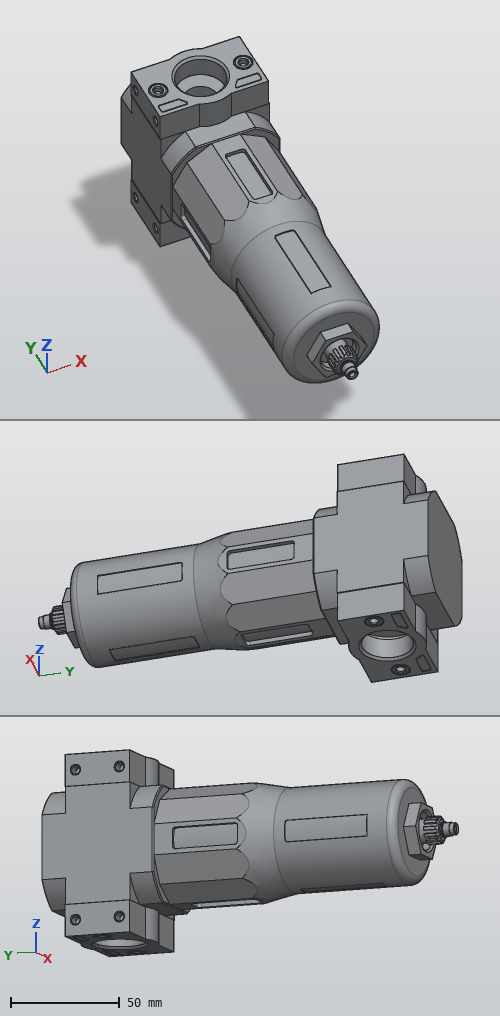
import cadquery as cq
import math


body_half = 27.5
corner_radius = 31.5
body_end_chamfer = 0.5
bore_diameter = 16.3

plate_left = -28.0
plate_right = 27.0
plate_half_depth = 16.0
plate_top = 42.5
boss_radius = 17.9
port_diameter = 24.0
seal_recess_diameter = 31.8
seal_recess_height = 3.9
port_chamfer = 1.2
side_hole_diameter = 4.0
side_hole_mouth = 5.0
side_hole_depth = 5.8
side_hole_offset = 10.9
side_hole_height = (body_half + plate_top) / 2

label_margin = 2.1
label_long = 14.0
label_short = 10.5
label_width = 4.5
label_center_y = -11.3
label_depth = 0.4
label_corner = 0.8

screw_offset = 21.5
screw_hole_diameter = 9.0
screw_diameter = 8.5
screw_face_diameter = 7.4
screw_length = 7.8
screw_bevel = 0.4
socket_mouth = 5.0
socket_diameter = 4.0
socket_depth = 3.0

drill_tip_slope = math.tan(math.radians(31))

facet_count = 12
facet_apothem = 27.0
guard_radius = 24.5
cone_end_y = -85.8
cone_slope = 0.2
guard_end_y = -145.8
guard_end_fillet = 4.0
window_width = 10.1
upper_window_top = -36.7
upper_window_bottom = -69.0
upper_window_floor = 25.2
upper_window_corner = 1.5
lower_window_top = -91.3
lower_window_bottom = -131.9
lower_window_floor = 23.9
lower_window_corner = 1.2

nut_sides = 6
nut_across_flats = 24.0
nut_end_y = -151.9
nut_recess_mouth = 19.8
nut_recess_diameter = 17.9
nut_recess_depth = 4.9

knob_root_diameter = 11.3
knob_tip_diameter = 13.0
knob_start_y = -152.8
knob_bevel_y = -158.7
knob_end_y = -159.6
knob_face_diameter = 9.7
tooth_count = 12
tooth_width = 1.5
collar_diameter = 7.5
neck_diameter = 6.8
neck_end_y = -160.5
collar_width = 0.5
stem_diameter = 6.5
stem_end_y = -164.1
spout_diameter = 5.6
spout_end_y = body_half - 194.2
spout_bevel = 0.4
outlet_mouth = 4.0
outlet_diameter = 3.0
outlet_depth = 3.0


def turned(profile):
    """Solid of revolution about the Y axis from (radius, y) points."""
    return cq.Workplane("XY").polyline(profile).close().revolve(360, (0, 0, 0), (0, 1, 0))


def rod(diameter, y_start, y_end):
    """Cylinder on the Y axis."""
    radius = diameter / 2
    return turned([(0, y_start), (radius, y_start), (radius, y_end), (0, y_end)])


def drilled_hole(diameter, mouth_diameter, depth):
    """Cutter pointing down from the origin: bevelled mouth and conical tip."""
    radius = diameter / 2
    mouth_radius = mouth_diameter / 2
    profile = [
        (0, 0),
        (mouth_radius, 0),
        (radius, radius - mouth_radius),
        (radius, -depth),
        (0, -depth - radius * drill_tip_slope),
    ]
    return cq.Workplane("XZ").polyline(profile).close().revolve(360, (0, 0, 0), (0, 1, 0))


def make_body():
    side = 2 * body_half
    block = cq.Workplane("XY").box(side, side, side)
    rounded = block.intersect(rod(2 * corner_radius, -body_half, body_half))
    rounded = rounded.faces("<Y").chamfer(body_end_chamfer)
    middle = cq.Workplane("XY").box(side, 2 * plate_half_depth, side)
    bore = cq.Workplane("XY").circle(bore_diameter / 2).extrude(side, both=True)
    return rounded.union(middle).cut(bore)


def label_pocket():
    """Left label pocket: a bar with one slanted end beside the port."""
    left = plate_left + label_margin
    low = label_center_y - label_width / 2
    high = label_center_y + label_width / 2
    outline = [(left, low), (left + label_long, low), (left + label_short, high), (left, high)]
    pocket = cq.Workplane("XY").workplane(offset=plate_top - label_depth)
    pocket = pocket.polyline(outline).close().extrude(label_depth)
    return pocket.edges("|Z").fillet(label_corner)


def make_upper_plate():
    height = plate_top - body_half
    plate_center_x = (plate_left + plate_right) / 2
    base = cq.Workplane("XY").workplane(offset=body_half)
    plate = base.center(plate_center_x, 0).rect(plate_right - plate_left, 2 * plate_half_depth)
    plate = plate.extrude(height)
    plate = plate.union(base.circle(boss_radius).extrude(height))

    port = base.circle(port_diameter / 2).extrude(height)
    seal_recess = base.circle(seal_recess_diameter / 2).extrude(seal_recess_height)
    bevel = cq.Workplane("XY").workplane(offset=plate_top).circle(port_diameter / 2 + port_chamfer)
    bevel = bevel.extrude(-port_chamfer, taper=45)
    plate = plate.cut(port).cut(bevel).cut(seal_recess)

    seats = cq.Workplane("XY").workplane(offset=plate_top - screw_length)
    seats = seats.pushPoints([(-screw_offset, 0), (screw_offset, 0)])
    plate = plate.cut(seats.circle(screw_hole_diameter / 2).extrude(screw_length))

    side_hole = drilled_hole(side_hole_diameter, side_hole_mouth, side_hole_depth)
    side_hole = side_hole.rotate((0, 0, 0), (0, 1, 0), -90)
    for y in (-side_hole_offset, side_hole_offset):
        plate = plate.cut(side_hole.translate((plate_left, y, side_hole_height)))

    pocket = label_pocket()
    mirrored = pocket.mirror("YZ").translate((2 * plate_center_x, 0, 0))
    return plate.cut(pocket).cut(mirrored)


def make_screw():
    """Screw with its flat face at the origin, pointing down."""
    radius = screw_diameter / 2
    profile = [
        (0, 0),
        (screw_face_diameter / 2, 0),
        (radius, -screw_bevel),
        (radius, -screw_length),
        (0, -screw_length),
    ]
    screw = cq.Workplane("XZ").polyline(profile).close().revolve(360, (0, 0, 0), (0, 1, 0))
    return screw.cut(drilled_hole(socket_diameter, socket_mouth, socket_depth))


def window(top, bottom, floor_radius, rounded_edges, corner):
    """Cutter for a window on the +Z side, with a floor curved around the Y axis."""
    opening = cq.Workplane("XY").center(0, (top + bottom) / 2).rect(window_width, top - bottom)
    opening = opening.extrude(2 * facet_apothem).edges(rounded_edges).fillet(corner)
    return opening.cut(rod(2 * floor_radius, bottom, top))


def make_guard():
    facet_corner_radius = facet_apothem / math.cos(math.pi / facet_count)
    length = -body_half - guard_end_y
    prism = cq.Workplane("XZ", origin=(0, -body_half, 0)).polygon(facet_count, 2 * facet_corner_radius)
    prism = prism.extrude(length)
    prism = prism.rotate((0, 0, 0), (0, 1, 0), 180 / facet_count)
    cone_start_y = cone_end_y + (facet_corner_radius - guard_radius) / cone_slope
    profile = [
        (0, guard_end_y),
        (guard_radius, guard_end_y),
        (guard_radius, cone_end_y),
        (facet_corner_radius, cone_start_y),
        (facet_corner_radius, -body_half),
        (0, -body_half),
    ]
    guard = prism.intersect(turned(profile).faces("<Y").edges().fillet(guard_end_fillet))

    upper = window(upper_window_top, upper_window_bottom, upper_window_floor, "|Z", upper_window_corner)
    lower_edges = "|Z and >Y"
    lower = window(lower_window_top, lower_window_bottom, lower_window_floor, lower_edges, lower_window_corner)
    for quarter in range(4):
        for opening in (upper, lower):
            guard = guard.cut(opening.rotate((0, 0, 0), (0, 1, 0), 90 * quarter))
    return guard


def make_nut():
    circumdiameter = nut_across_flats / math.cos(math.pi / nut_sides)
    nut = cq.Workplane("XZ", origin=(0, guard_end_y, 0)).polygon(nut_sides, circumdiameter)
    nut = nut.extrude(guard_end_y - nut_end_y)
    bevel = (nut_recess_mouth - nut_recess_diameter) / 2
    floor_y = nut_end_y + nut_recess_depth
    recess = turned([
        (0, nut_end_y),
        (nut_recess_mouth / 2, nut_end_y),
        (nut_recess_diameter / 2, nut_end_y + bevel),
        (nut_recess_diameter / 2, floor_y),
        (0, floor_y),
    ])
    return nut.cut(recess)


def make_drain_screw():
    tip_radius = knob_tip_diameter / 2
    tooth = cq.Workplane("XY").box(tooth_width, knob_start_y - knob_end_y, 2 * tip_radius)
    tooth = tooth.translate((0, (knob_start_y + knob_end_y) / 2, 0))
    knob = rod(knob_root_diameter, nut_end_y + nut_recess_depth, knob_end_y)
    for index in range(tooth_count // 2):
        knob = knob.union(tooth.rotate((0, 0, 0), (0, 1, 0), index * 360 / tooth_count))
    envelope = turned([
        (0, guard_end_y),
        (tip_radius, guard_end_y),
        (tip_radius, knob_bevel_y),
        (knob_face_diameter / 2, knob_end_y),
        (0, knob_end_y),
    ])
    knob = knob.intersect(envelope)

    drain = knob.union(rod(neck_diameter, knob_end_y, neck_end_y))
    drain = drain.union(rod(collar_diameter, neck_end_y, neck_end_y - collar_width))
    drain = drain.union(rod(stem_diameter, neck_end_y, stem_end_y))
    spout = rod(spout_diameter, stem_end_y, spout_end_y).faces("<Y").chamfer(spout_bevel)
    drain = drain.union(spout)

    mouth_bevel = (outlet_mouth - outlet_diameter) / 2
    outlet = turned([
        (0, spout_end_y),
        (outlet_mouth / 2, spout_end_y),
        (outlet_diameter / 2, spout_end_y + mouth_bevel),
        (outlet_diameter / 2, spout_end_y + outlet_depth),
        (0, spout_end_y + outlet_depth),
    ])
    return drain.cut(outlet)


body = make_body()
guard = make_guard()
nut = make_nut()
drain_screw = make_drain_screw()

plates = []
screws = []
for turn in (0, 180):
    plates.append(make_upper_plate().rotate((0, 0, 0), (1, 0, 0), turn).val())
    for x in (-screw_offset, screw_offset):
        screw = make_screw().translate((x, 0, plate_top))
        screws.append(screw.rotate((0, 0, 0), (1, 0, 0), turn).val())

result = cq.Compound.makeCompound([
    body.val(),
    guard.val(),
    nut.val(),
    drain_screw.val(),
    *plates,
    *screws,
])